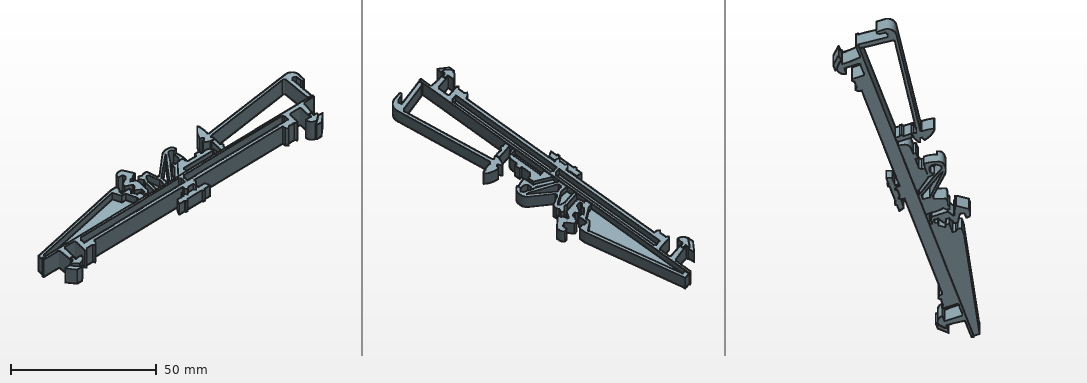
import cadquery as cq


RAIL_HEIGHT = 9.2
RAIL_TOP = RAIL_HEIGHT / 2
RAIL_BOTTOM = -RAIL_TOP
ARM_INSET = 0.6
ARM_TOP = RAIL_TOP - ARM_INSET
ARM_BOTTOM = -ARM_TOP
SPRING_TOP = ARM_TOP - 2.3
BRACKET_TOP = SPRING_TOP
WING_TOP = ARM_TOP - 0.5
HEAD_TOP = RAIL_TOP + 0.4
FLOOR_Z = 0.5

RAIL_LEFT = 1.9
RAIL_RIGHT = 6.7
RAIL_TIP = 58.2
RAIL_TAIL = -60.4
WALL = 0.8
WALL_RIGHT = RAIL_LEFT + WALL
BLOCK_END = 46.7
BLOCK_START = 41.3
BLOCK_ROOT = 5.5
BLOCK_RIGHT = 7.9
BARB_REACH = 0.7
BARB_TIP = BLOCK_RIGHT + BARB_REACH

RECESS_WIDTH = 2.5
RECESS_END = 44.7
RECESS_GAP = 1.1
RECESS_CORNER = 0.6

NOTCH_RADIUS = 0.5
TIP_NOTCH_FLOOR = 3.8
TAIL_NOTCH_FLOOR = WALL_RIGHT

STEM_NEAR = 51.4
STEM_FAR = 53.6
STEM_TIP_FAR = 53.2
STEM_ROOT = 54.0
HEAD_BACK = 9.5
HEAD_FRONT = 12.7

BRACKET_LEFT = 8.1
BRACKET_RIGHT = 10.0
BRACKET_HALF = 6.8
SHOULDER_HALF = 6.0
NECK_HALF = 3.2
CENTRE_BLOCK_HALF = 2.5
NUB_NEAR = 3.3
NUB_FAR = 4.2
NUB_REACH = 0.5


def prism(start, steps, bottom, top):
    """Extrude an outline; a step is a corner point or an (arc middle, arc end) pair."""
    profile = cq.Workplane("XY").workplane(offset=bottom).moveTo(*start)
    for step in steps:
        if isinstance(step[0], tuple):
            profile = profile.threePointArc(*step)
        else:
            profile = profile.lineTo(*step)
    return profile.close().extrude(top - bottom)


def arm_prism(start, steps):
    return prism(start, steps, ARM_BOTTOM, ARM_TOP)


def pocket(start, steps):
    return prism(start, steps, FLOOR_Z, RAIL_TOP)


def bar(x0, x1, y0, y1, bottom, top):
    return prism((x0, y0), [(x1, y0), (x1, y1), (x0, y1)], bottom, top)


def rail_body():
    spine = bar(RAIL_LEFT, RAIL_RIGHT, -BLOCK_END, BLOCK_END, RAIL_BOTTOM, RAIL_TOP)
    wall = bar(RAIL_LEFT, WALL_RIGHT, RAIL_TAIL, RAIL_TIP, RAIL_BOTTOM, RAIL_TOP)
    return spine.union(wall)


def end_notch_wall(floor, end):
    """Rail wall beside a snap head, hollowed to a round-cornered notch."""
    y0 = end * BLOCK_END
    y1 = end * STEM_NEAR
    wall = bar(RAIL_LEFT, floor + 2 * NOTCH_RADIUS, y0, y1, RAIL_BOTTOM, RAIL_TOP)
    notch = bar(floor, floor + 4 * NOTCH_RADIUS, y0, y1, RAIL_BOTTOM, RAIL_TOP)
    return wall.cut(notch.edges("|Z").fillet(NOTCH_RADIUS))


def barbed_block():
    """End block whose +X face carries two pointed ridges."""
    return prism(
        (BLOCK_ROOT, BLOCK_END),
        [(8.2, BLOCK_END), (BARB_TIP, 46.2), (BLOCK_RIGHT, 45.5), (BLOCK_RIGHT, 43.0),
         (BARB_TIP, 42.4), (BLOCK_RIGHT, 41.6), (RAIL_RIGHT, BLOCK_START), (BLOCK_ROOT, BLOCK_START)],
        RAIL_BOTTOM, RAIL_TOP)


def snap_head():
    """Tapered stem, rounded head standing slightly proud, and a lower hooked wing."""
    stem = prism(
        (RAIL_LEFT, STEM_NEAR),
        [(HEAD_BACK, STEM_NEAR), (HEAD_BACK, STEM_TIP_FAR), (6.9, STEM_TIP_FAR),
         (3.3, STEM_FAR), ((2.9, 53.7), (WALL_RIGHT, STEM_ROOT)), (RAIL_LEFT, STEM_ROOT)],
        RAIL_BOTTOM, RAIL_TOP)
    head = prism(
        (8.1, 51.6),
        [(HEAD_BACK, 51.6), (HEAD_BACK, 49.2), ((11.4, 50.2), (12.0, 52.0)), (10.2, 54.0),
         (HEAD_BACK, 54.0), (HEAD_BACK, 52.8), (8.1, 52.8)],
        RAIL_BOTTOM, HEAD_TOP)
    wing = prism(
        (HEAD_BACK, 53.8),
        [(9.7, 56.5), (HEAD_FRONT, 53.6), (HEAD_FRONT, 51.4), (11.4, 51.4), (HEAD_BACK, 52.1)],
        ARM_BOTTOM, WING_TOP)
    return stem.union(head).union(wing)


def centre_bracket():
    flange = prism(
        (BRACKET_LEFT, -SHOULDER_HALF),
        [(BRACKET_RIGHT, -BRACKET_HALF), (BRACKET_RIGHT, BRACKET_HALF), (BRACKET_LEFT, SHOULDER_HALF)],
        ARM_BOTTOM, BRACKET_TOP)
    bracket = flange.union(
        bar(RAIL_RIGHT, BRACKET_LEFT, -NECK_HALF, NECK_HALF, ARM_BOTTOM, BRACKET_TOP))
    for side in (-1, 1):
        nub = bar(BRACKET_RIGHT, BRACKET_RIGHT + NUB_REACH, side * NUB_NEAR, side * NUB_FAR,
                  ARM_BOTTOM, BRACKET_TOP)
        bracket = bracket.union(nub)
    barbs = prism(
        (RAIL_RIGHT, -CENTRE_BLOCK_HALF),
        [(7.6, -CENTRE_BLOCK_HALF), (BARB_TIP, -1.8), (BLOCK_RIGHT, -1.1), (BLOCK_RIGHT, 1.1),
         (BARB_TIP, 1.8), (7.6, CENTRE_BLOCK_HALF), (RAIL_RIGHT, CENTRE_BLOCK_HALF)],
        RAIL_BOTTOM, RAIL_TOP)
    return bracket.union(barbs)


def rail_recess():
    left = WALL_RIGHT
    right = left + RECESS_WIDTH
    near = RECESS_GAP / 2
    return pocket(
        (left + RECESS_CORNER, near),
        [(right, near), (right, RECESS_END), (left + RECESS_CORNER, RECESS_END),
         (left, RECESS_END - RECESS_CORNER), (left, near + RECESS_CORNER)])


def hooked_arm():
    """Cross bar with a rounded hook and the long slanted arm down to the catch."""
    return arm_prism(
        (RAIL_LEFT, RAIL_TIP),
        [(-8.5, 57.5), ((-8.8, 58.4), (-8.4, 59.3)), (-6.3, 59.5), (-5.6, 59.9), (-5.6, 60.6),
         (-8.8, 60.6), ((-10.8, 59.6), (-11.6, 57.2)), (-6.9, 18.8), (-5.9, 18.8), (-5.8, 20.4),
         (-10.2, 54.5), ((-10.2, 55.3), (-9.6, 55.6)), (1.2, 56.5), (1.2, 56.7),
         (RAIL_LEFT, 56.7)])


def catch():
    """Hooked tip of the long arm, just clear of the bridge beside it."""
    return arm_prism(
        (-7.0, 20.0),
        [(-7.4, 19.5), (-9.2, 19.5), (-11.6, 19.1), (-12.0, 18.8), ((-9.8, 17.0), (-7.3, 16.0)),
         (-6.7, 17.2), (-6.2, 17.2), (-5.6, 15.8), (-5.1, 15.9), (-4.0, 18.0),
         (-4.0, 19.9), (-4.6, 19.9), (-5.5, 19.5), (-5.8, 20.4)])


def bridge():
    """Short finger reaching from the rail to the catch, with a small ridge."""
    return arm_prism(
        (RAIL_LEFT, 18.4),
        [(RAIL_LEFT, 20.2), (0.4, 20.2), (0.1, 20.6), (-0.5, 20.6), (-1.0, 19.9), (-3.8, 19.9),
         (-3.8, 18.4)])


def stop_block():
    return arm_prism(
        (RAIL_LEFT, 17.1),
        [(-0.2, 16.7), ((-1.3, 15.9), (-1.8, 14.5)), (-1.8, 12.4), (-2.8, 12.4), (-2.8, 10.2),
         (-1.8, 10.2), (-1.8, 6.5), (-2.5, 5.8), (-3.8, 5.8), (-3.8, 3.5), (RAIL_LEFT, -0.6)])


def loop_spring():
    """Half-open loop: full-height outer band and brace, lower inner return strip."""
    band = arm_prism(
        (-8.5, 6.8),
        [((-9.9, 6.0), (-10.4, 4.6)), ((-10.3, 2.8), (-9.1, 1.0)), (-2.7, -5.3),
         (-2.7, -6.7), (RAIL_LEFT, -6.7), (RAIL_LEFT, -3.0), (1.5, -3.0), (-5.6, 1.7), (-8.8, 3.5),
         ((-9.2, 4.6), (-8.4, 5.5))])
    window = arm_prism(
        (-9.0, 2.3),
        [(-8.0, 2.0), (-5.9, 0.6), (0.8, -3.8), (0.8, -5.1), (-1.6, -5.3)])
    strip = prism(
        (-8.5, 6.8),
        [((-6.2, 7.4), (-3.9, 7.5)), (-3.8, 3.5), (RAIL_LEFT, -0.6), (RAIL_LEFT, -1.9), (1.5, -1.8),
         (-3.8, 2.2), (-5.6, 2.5), (-6.0, 2.9), (-5.0, 3.5), (-5.0, 5.0), ((-6.3, 5.9), (-8.4, 5.5))],
        ARM_BOTTOM, SPRING_TOP)
    return band.cut(window).union(strip)


def rounded_tab():
    return arm_prism(
        (RAIL_LEFT, -5.5),
        [(-2.7, -6.2), (-6.2, -7.4), ((-6.7, -7.6), (-6.8, -8.0)), (-6.8, -9.0), (-6.4, -9.9),
         (-6.8, -11.0), ((-6.3, -11.8), (-5.6, -11.6)), (-4.5, -10.7), (-3.4, -11.0), (RAIL_LEFT, -11.0)])


def zigzag_clip():
    return arm_prism(
        (RAIL_LEFT, -15.0),
        [(1.0, -15.0), (1.0, -13.5), (0.2, -12.5), (-5.6, -12.5), (-6.2, -13.5), (-6.9, -14.7),
         (-7.5, -14.3), (-7.6, -13.0), (-8.4, -12.4), (-8.6, -11.3), (-9.1, -11.4), (-12.7, -13.9),
         (-12.7, -15.3), (-12.5, -16.1), (-12.0, -16.8), (-10.8, -16.8), (-10.7, -15.0),
         (-9.5, -14.7), (-8.8, -15.3), (-7.5, -17.6), (-6.3, -17.6), (-5.2, -15.0), (-4.0, -15.0),
         (-3.8, -16.0), (-2.8, -16.0),
         (-1.6, -13.9), (0.1, -13.9), (0.1, -14.9), (-0.8, -15.3), (-0.8, -16.5), (-2.8, -17.8),
         (-3.3, -17.1), (-4.5, -17.0), (-4.5, -19.4), (RAIL_LEFT, -19.4)])


def wedge():
    """Long tapered body between the zigzag clip and the tail of the rail."""
    return arm_prism(
        (RAIL_LEFT, -18.2),
        [(-4.5, -18.2), (-4.5, -20.5), (-5.7, -20.5), (-6.5, -19.8), (-7.9, -20.1), (-7.9, -22.4),
         (-0.2, -59.6), (-0.2, RAIL_TAIL), (RAIL_LEFT, RAIL_TAIL)])


def arm_pockets():
    """Pockets in the stop block, the rounded tab and the wedge, open at the top."""
    stop_pocket = pocket((-0.1, 16.0), [(RAIL_LEFT, 16.0), (RAIL_LEFT, 3.3), (-0.1, 3.3)])
    tab_pocket = pocket(
        (RAIL_LEFT, -6.8),
        [(0.2, -6.4), (-1.0, -6.4), (-2.8, -7.3), (-4.8, -8.0), ((-5.2, -8.6), (-4.5, -9.5)),
         (-3.2, -9.9), (RAIL_LEFT, -9.9)])
    wedge_pocket = pocket(
        (RAIL_LEFT, -17.5),
        [(0.2, -17.6), (-3.5, -19.4), (-3.5, -21.1), (-6.7, -22.8), (0.6, -58.5), (RAIL_LEFT, -58.5)])
    return stop_pocket.union(tab_pocket).union(wedge_pocket)


def tail_ridge():
    return prism(
        (RAIL_LEFT, RAIL_TAIL), [(2.2, -60.6), (WALL_RIGHT, RAIL_TAIL)], RAIL_BOTTOM, RAIL_TOP)


arms = stop_block()
for build in (bridge, hooked_arm, catch, loop_spring, rounded_tab, zigzag_clip, wedge):
    arms = arms.union(build())
arms = arms.cut(arm_pockets())

rail = rail_body().union(centre_bracket()).union(tail_ridge())
rail = rail.union(end_notch_wall(TIP_NOTCH_FLOOR, 1)).union(end_notch_wall(TAIL_NOTCH_FLOOR, -1))
for feature in (barbed_block(), snap_head()):
    rail = rail.union(feature).union(feature.mirror("XZ"))
recess = rail_recess()
rail = rail.cut(recess).cut(recess.mirror("XZ"))

result = rail.union(arms)